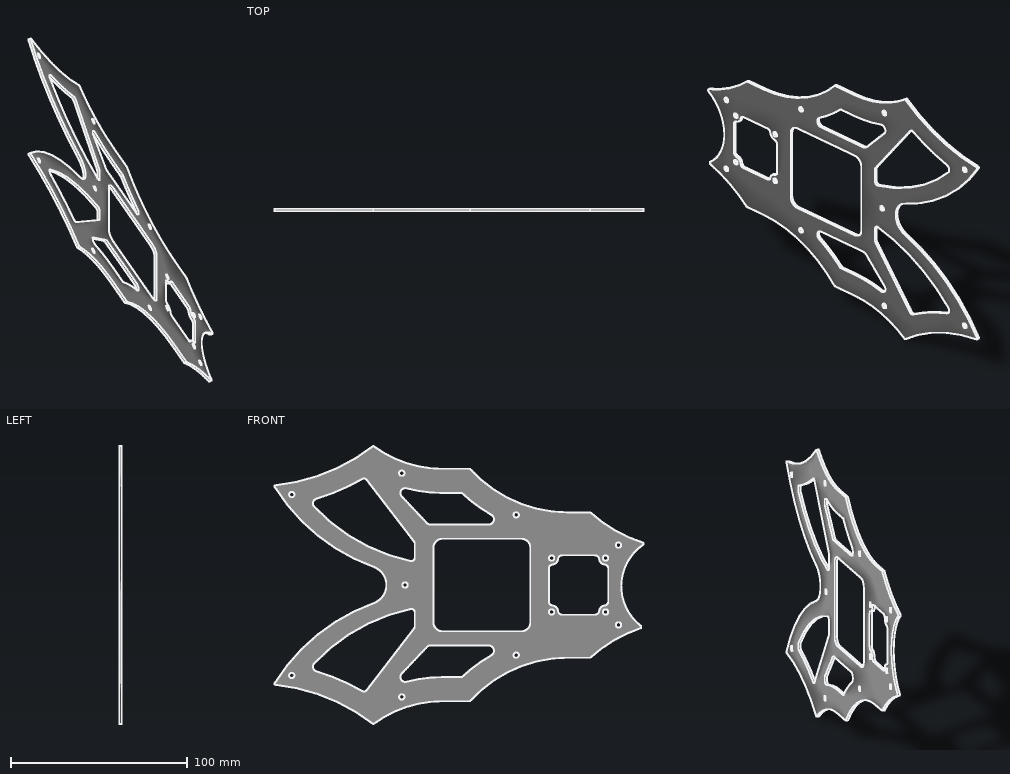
import cadquery as cq
import math

thickness = 1.5

wing_tip = (-105.2, 56.5)
wing_tip_fillet = 0.6
wing_peak = (-48.6, 79.0)
wing_edge_radius = 109.0
peak_arc_radius = 65.8
upper_flat_z = 66.0
upper_flat_end_x = 6.3
waist_radius = 74.6
lower_flat_z = 41.3
lower_flat_end_x = 74.6
shoulder_end = (109.0, 22.8)
shoulder_radius = 79.6
fork_radius = 109.6
notch_apex_x = -41.3
notch_radius = 11.0
notch_end_x = -48.2

tail_center = (120.7, -0.6)
tail_radius = 28.5
tail_tip_fillet = 0.8

wing_pocket_outer = (-85.0, 47.8)
wing_pocket_top = (-53.5, 61.0)
wing_pocket_inner_x = -25.2
wing_pocket_inner_top_z = 24.0
wing_pocket_inner_bottom_z = 13.2
wing_pocket_rim = 13.0
wing_pocket_fork_radius = 104.8
wing_pocket_outer_fillet = 2.7
wing_pocket_fillet = 1.9

side_pocket_rim = 13.8
side_pocket_waist_rim = 13.0
side_pocket_floor_z = 34.4
side_pocket_floor_start_x = -17.5
side_pocket_outer_x = -40.0
side_pocket_outer_fillet = 2.7
side_pocket_floor_fillet = 3.0

window_length = 55.0
window_height = 52.5
window_center_x = 13.0
window_fillet = 5.0

board_center_x = 68.0
board_opening = 33.5
board_hole_pitch = 30.5
ear_radius = 3.8
ear_fillet = 2.0

hole_diameter = 3.0
paired_holes = [(-95.0, 51.4), (-32.5, 63.5), (32.5, 39.8), (90.5, 22.6)]
center_hole = (-30.5, 0)

peak_drop = wing_peak[1] - upper_flat_z
upper_flat_start_x = wing_peak[0] + math.sqrt(peak_drop * (2 * peak_arc_radius - peak_drop))
waist_drop = upper_flat_z - lower_flat_z
lower_flat_start_x = upper_flat_end_x + math.sqrt(waist_drop * (2 * waist_radius - waist_drop))


def plane():
    return cq.Workplane("XZ")


def prism(profile):
    """Extrude a closed profile to the plate thickness, centred on Y = 0."""
    return profile.extrude(thickness / 2, both=True)


def with_mirror(half):
    """Join a body with its reflection across Z = 0."""
    return half.union(half.mirror("XY"))


def round_corner(body, point, radius):
    """Fillet the through-thickness edge nearest to the point (x, z)."""
    corner = cq.selectors.NearestToPointSelector((point[0], 0, point[1]))
    return body.edges("|Y").edges(corner).fillet(radius)


def height_on_arc(x, center, radius):
    """Z of the lower side of a circle at the given x."""
    return center[1] - math.sqrt(radius**2 - (x - center[0])**2)


def make_blank():
    notch_center_x = notch_apex_x - notch_radius
    notch_end_z = math.sqrt(notch_radius**2 - (notch_end_x - notch_center_x)**2)
    half = prism(
        plane()
        .moveTo(notch_apex_x, 0)
        .radiusArc((notch_end_x, notch_end_z), -notch_radius)
        .radiusArc(wing_tip, fork_radius)
        .radiusArc(wing_peak, -wing_edge_radius)
        .radiusArc((upper_flat_start_x, upper_flat_z), -peak_arc_radius)
        .lineTo(upper_flat_end_x, upper_flat_z)
        .radiusArc((lower_flat_start_x, lower_flat_z), -waist_radius)
        .lineTo(lower_flat_end_x, lower_flat_z)
        .radiusArc(shoulder_end, -shoulder_radius)
        .lineTo(shoulder_end[0], 0)
        .close()
    )
    half = round_corner(half, wing_tip, wing_tip_fillet)
    tail_cut = prism(plane().center(*tail_center).circle(tail_radius))
    blank = with_mirror(half).cut(tail_cut)
    for tip_z in (shoulder_end[1], -shoulder_end[1]):
        blank = round_corner(blank, (shoulder_end[0], tip_z), tail_tip_fillet)
    return blank


def make_wing_pocket():
    inner_top = (wing_pocket_inner_x, wing_pocket_inner_top_z)
    inner_bottom = (wing_pocket_inner_x, wing_pocket_inner_bottom_z)
    pocket = prism(
        plane()
        .moveTo(*wing_pocket_outer)
        .radiusArc(wing_pocket_top, -(wing_edge_radius + wing_pocket_rim))
        .lineTo(*inner_top)
        .lineTo(*inner_bottom)
        .radiusArc(wing_pocket_outer, wing_pocket_fork_radius)
        .close()
    )
    pocket = round_corner(pocket, wing_pocket_outer, wing_pocket_outer_fillet)
    for corner in (wing_pocket_top, inner_top, inner_bottom):
        pocket = round_corner(pocket, corner, wing_pocket_fillet)
    return pocket


def make_side_pocket():
    roof_z = upper_flat_z - side_pocket_rim
    peak_arc_center = (upper_flat_start_x, upper_flat_z + peak_arc_radius)
    outer_arc_radius = peak_arc_radius + side_pocket_rim
    outer_z = height_on_arc(side_pocket_outer_x, peak_arc_center, outer_arc_radius)
    outer_corner = (side_pocket_outer_x, outer_z)

    waist_center = (lower_flat_start_x, lower_flat_z + waist_radius)
    inner_arc_radius = waist_radius + side_pocket_waist_rim
    roof_reach = math.sqrt(inner_arc_radius**2 - (waist_center[1] - roof_z)**2)
    floor_reach = math.sqrt(inner_arc_radius**2 - (waist_center[1] - side_pocket_floor_z)**2)
    floor_end = (waist_center[0] - floor_reach, side_pocket_floor_z)
    floor_start = (side_pocket_floor_start_x, side_pocket_floor_z)

    pocket = prism(
        plane()
        .moveTo(*outer_corner)
        .radiusArc((upper_flat_start_x, roof_z), -outer_arc_radius)
        .lineTo(waist_center[0] - roof_reach, roof_z)
        .radiusArc(floor_end, -inner_arc_radius)
        .lineTo(*floor_start)
        .close()
    )
    pocket = round_corner(pocket, outer_corner, side_pocket_outer_fillet)
    for corner in (floor_start, floor_end):
        pocket = round_corner(pocket, corner, side_pocket_floor_fillet)
    return pocket


def make_window():
    window = prism(plane().center(window_center_x, 0).rect(window_length, window_height))
    return window.edges("|Y").fillet(window_fillet)


def board_corners():
    return plane().center(board_center_x, 0).rect(board_hole_pitch, board_hole_pitch, forConstruction=True)


def make_board_opening():
    opening = prism(plane().center(board_center_x, 0).rect(board_opening, board_opening))
    ears = prism(board_corners().vertices().circle(ear_radius))
    return opening.cut(ears).edges("|Y").fillet(ear_fillet)


def make_holes():
    mirrored_holes = [(x, -z) for x, z in paired_holes]
    screw_points = paired_holes + mirrored_holes + [center_hole]
    screw_holes = prism(plane().pushPoints(screw_points).circle(hole_diameter / 2))
    board_holes = prism(board_corners().vertices().circle(hole_diameter / 2))
    return screw_holes.union(board_holes)


result = (
    make_blank()
    .cut(with_mirror(make_wing_pocket()))
    .cut(with_mirror(make_side_pocket()))
    .cut(make_window())
    .cut(make_board_opening())
    .cut(make_holes())
)